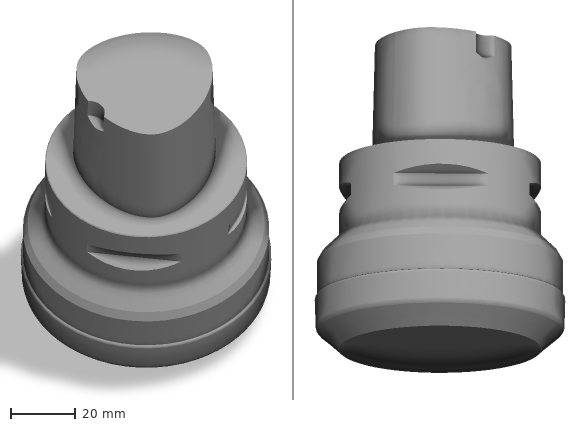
import cadquery as cq
import math

total_height = 97.95
joint_height = 16.75
rim_chamfer_base = 27.9
collar_foot = 37.2
collar_top = 59.9

holder_radius = 76.9 / 2
collar_radius = 63.0 / 2
collar_edge_chamfer = 0.3
foot_fillet_radius = 3.4
rim_chamfer_height = 2.6
rim_chamfer_angle = 30.0
shoulder_angle = 45.0

head_radius = 78.3 / 2
head_lower_radius = 38.8
head_wall_foot = 6.4
head_bottom_radius = 31.5
head_top_fillet = 1.0
head_bottom_fillet = 2.0

shank_base_radius = 22.2
shank_lobe_height = 1.4
taper_per_side = 1 / 40
lobe_count = 3
flat_half_angle = 23.0
points_per_side = 7

notch_radius = 4.8
notch_axis_y = -22.2
notch_depth = 6.8
drill_tip_angle = 118.0

groove_count = 4
groove_start_angle = 45.0
groove_height = 47.9
groove_floor_distance = 27.8
groove_floor_half_width = 1.9
groove_flank_angle = 31.0
cutter_overrun = 2.0
selection_margin = 1.0


def make_head():
    """Turned head with a slightly tapered wall and a conical underside."""
    profile = [
        (0, 0),
        (head_bottom_radius, 0),
        (head_lower_radius, head_wall_foot),
        (head_radius, joint_height),
        (0, joint_height),
    ]
    head = cq.Workplane("XZ").polyline(profile).close().revolve(360, (0, 0, 0), (0, 1, 0))
    head = head.edges("%CIRCLE").edges(">Z").fillet(head_top_fillet)
    wall_foot = cq.selectors.BoxSelector(
        (-head_radius, -head_radius, head_wall_foot - selection_margin),
        (head_radius, head_radius, head_wall_foot + selection_margin),
    )
    return head.edges("%CIRCLE").edges(wall_foot).fillet(head_bottom_fillet)


def make_turned_holder():
    """Collar, filleted shoulder and cylindrical rim."""
    slope = math.radians(shoulder_angle)
    fillet_center_radius = collar_radius + foot_fillet_radius

    def fillet_point(turn):
        return (
            fillet_center_radius - foot_fillet_radius * math.cos(turn),
            collar_foot - foot_fillet_radius * math.sin(turn),
        )

    chamfer_top = rim_chamfer_base + rim_chamfer_height
    chamfer_radius = holder_radius - rim_chamfer_height * math.tan(math.radians(rim_chamfer_angle))
    return (
        cq.Workplane("XZ")
        .moveTo(0, joint_height)
        .lineTo(holder_radius, joint_height)
        .lineTo(holder_radius, rim_chamfer_base)
        .lineTo(chamfer_radius, chamfer_top)
        .lineTo(*fillet_point(slope))
        .threePointArc(fillet_point(slope / 2), (collar_radius, collar_foot))
        .lineTo(collar_radius, collar_top - collar_edge_chamfer)
        .lineTo(collar_radius - collar_edge_chamfer, collar_top)
        .lineTo(0, collar_top)
        .close()
        .revolve(360, (0, 0, 0), (0, 1, 0))
    )


def polygon_wire(mean_radius, height):
    """Constant-width outline whose distance to its tangent is mean_radius + lobe * cos(3 * turn)."""
    lobe_spacing = 360 / lobe_count
    lobe_half_angle = lobe_spacing / 2 - flat_half_angle
    lobe_direction = 90.0
    edges = []

    def outline_point(angle):
        normal = math.radians(angle)
        phase = lobe_count * math.radians(angle - lobe_direction)
        reach = mean_radius + shank_lobe_height * math.cos(phase)
        slide = -lobe_count * shank_lobe_height * math.sin(phase)
        return cq.Vector(
            reach * math.cos(normal) - slide * math.sin(normal),
            reach * math.sin(normal) + slide * math.cos(normal),
            height,
        )

    def tangent(angle):
        return cq.Vector(-math.sin(math.radians(angle)), math.cos(math.radians(angle)), 0)

    def outline_edge(start, end):
        step = (end - start) / (points_per_side - 1)
        points = [outline_point(start + i * step) for i in range(points_per_side)]
        return cq.Edge.makeSpline(points, tangents=[tangent(start), tangent(end)])

    for lobe in range(lobe_count):
        center = lobe_direction + lobe * lobe_spacing
        lobe_end = center + lobe_half_angle
        edges.append(outline_edge(center - lobe_half_angle, lobe_end))
        edges.append(outline_edge(lobe_end, lobe_end + 2 * flat_half_angle))
    return cq.Wire.assembleEdges(edges)


def make_shank():
    """Tapered three-lobed shank standing on the flange face."""
    top_radius = shank_base_radius - taper_per_side * (total_height - collar_top)
    base = polygon_wire(shank_base_radius, collar_top)
    top = polygon_wire(top_radius, total_height)
    return cq.Workplane(cq.Solid.makeLoft([base, top], True))


def make_notch_cutter():
    """Drill shape with a conical tip, sunk from the top of the shank."""
    shoulder = total_height - notch_depth
    tip = shoulder - notch_radius / math.tan(math.radians(drill_tip_angle / 2))
    top = total_height + cutter_overrun
    profile = [(0, tip), (notch_radius, shoulder), (notch_radius, top), (0, top)]
    drill = cq.Workplane("XZ").polyline(profile).close().revolve(360, (0, 0, 0), (0, 1, 0))
    return drill.translate((0, notch_axis_y, 0))


def make_groove_cutter(angle):
    """Straight trapezoidal groove across the collar, facing the given direction."""
    outer = collar_radius + cutter_overrun
    flank_rise = (outer - groove_floor_distance) * math.tan(math.radians(groove_flank_angle))
    mouth_half_width = groove_floor_half_width + flank_rise
    profile = [
        (groove_floor_distance, groove_height - groove_floor_half_width),
        (outer, groove_height - mouth_half_width),
        (outer, groove_height + mouth_half_width),
        (groove_floor_distance, groove_height + groove_floor_half_width),
    ]
    cutter = cq.Workplane("XZ").polyline(profile).close().extrude(collar_radius, both=True)
    return cutter.rotate((0, 0, 0), (0, 0, 1), angle)


def make_holder():
    """Turned holder and polygon shank in one piece, with notch and gripper grooves."""
    holder = make_turned_holder().union(make_shank()).cut(make_notch_cutter())
    for index in range(groove_count):
        holder = holder.cut(make_groove_cutter(groove_start_angle + index * 360 / groove_count))
    return holder


head = make_head()
holder = make_holder()

result = cq.Compound.makeCompound([head.val(), holder.val()])